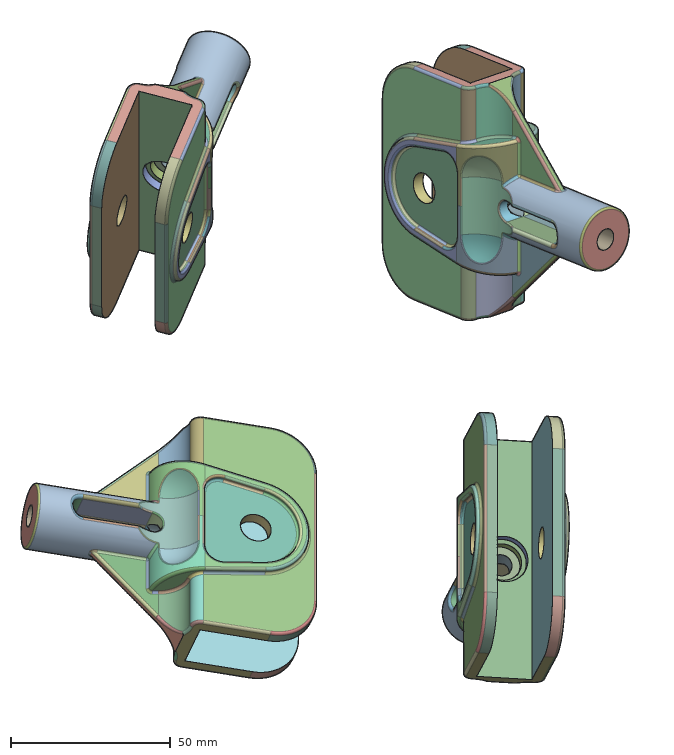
import cadquery as cq
import math


fork_open_y = -20.0
fork_floor_y = 17.0
fork_height = 79.0
fork_gap = 17.55
arm_corner_radius = 15.0
shoulder_radius = 3.4
edge_round = 0.9
pin_diameter = 10.0

rib_thickness = 3.0
flare_radius = 8.0
rib_slope_start_y = 21.2
half_height = fork_height / 2
half_rib = rib_thickness / 2
flare_x = half_rib + flare_radius
fork_half_width = flare_x + shoulder_radius
fork_back_y = fork_floor_y + shoulder_radius
rib_tip_y = rib_slope_start_y + half_height

boss_width = 29.6
boss_radius = 17.0
boss_taper = math.radians(10)
pocket_wall = 3.1
pocket_back_y = fork_floor_y
pocket_corner_radius = 5.5
pocket_edge_round = 0.7
wrap_radius = boss_width / 2
pocket_radius = boss_radius - pocket_wall

stem_diameter = 21.0
stem_end_y = 70.0
stem_end_round = 0.6
bore_diameter = 7.0
slot_start_y = 28.5
slot_end_y = 58.6
slot_edge_round = 0.9

joint_round = 0.8
touch_tolerance = 0.001

seat_steps = [(15.0, 3.0), (12.1, 6.0)]

groove_radius = 12.0
groove_x = 19.2
groove_y = 30.15
groove_half_straight = 9.6
groove_edge_round = 0.45


def touches(point, shape):
    """True where the point lies on the outer surface of the shape."""
    vertex = cq.Vertex.makeVertex(*point.toTuple())
    return any(vertex.distance(shell) < touch_tolerance for shell in shape.shells().vals())


def round_meeting_edges(combined, first, second, radius):
    """Fillet the edges of the combined solid along which the two shapes meet."""
    meeting = []
    for edge in combined.edges().vals():
        middle = edge.positionAt(0.5)
        if touches(middle, first) and touches(middle, second):
            meeting.append(edge)
    return combined.newObject(meeting).fillet(radius)


def join_blended(first, second, radius):
    return round_meeting_edges(first.union(second), first, second, radius)


def cut_rounded(stock, tool, radius):
    return round_meeting_edges(stock.cut(tool), stock, tool, radius)


def tapered_outline(radius, back_y):
    """Rounded nose about the pin with sides that spread toward a flat back, in the YZ plane."""
    nose_y = -radius * math.sin(boss_taper)
    nose_z = radius * math.cos(boss_taper)
    back_z = nose_z + (back_y - nose_y) * math.tan(boss_taper)
    return (
        cq.Workplane("YZ")
        .moveTo(back_y, -back_z)
        .lineTo(nose_y, -nose_z)
        .threePointArc((-radius, 0), (nose_y, nose_z))
        .lineTo(back_y, back_z)
        .close()
    )


def make_fork_blank():
    """Fork without its gap, together with the flared rib."""
    diagonal = math.sqrt(0.5)
    shoulder_x = fork_half_width - shoulder_radius * (1 - diagonal)
    shoulder_y = fork_floor_y + shoulder_radius * diagonal
    flare_mid_x = flare_x - flare_radius * diagonal
    flare_mid_y = fork_back_y + flare_radius * (1 - diagonal)
    plan = (
        cq.Workplane("XY")
        .moveTo(0, fork_open_y)
        .lineTo(fork_half_width, fork_open_y)
        .lineTo(fork_half_width, fork_floor_y)
        .threePointArc((shoulder_x, shoulder_y), (flare_x, fork_back_y))
        .threePointArc((flare_mid_x, flare_mid_y), (half_rib, fork_back_y + flare_radius))
        .lineTo(half_rib, rib_tip_y)
        .lineTo(0, rib_tip_y)
        .mirrorY()
        .extrude(half_height, both=True)
    )
    side = (
        cq.Workplane("YZ")
        .moveTo(fork_open_y, -half_height)
        .lineTo(rib_slope_start_y, -half_height)
        .lineTo(rib_tip_y, 0)
        .lineTo(rib_slope_start_y, half_height)
        .lineTo(fork_open_y, half_height)
        .close()
        .extrude(fork_half_width, both=True)
        .edges("|X and <Y")
        .fillet(arm_corner_radius)
    )
    blank = plan.intersect(side)
    rim = blank.edges("not(|X or |Z)").add(blank.edges("|Z and <Y"))
    return rim.fillet(edge_round)


def make_boss():
    """Boss that fills the fork from side to side and rounds off behind it."""
    slab = cq.Workplane("XY").rect(boss_width, 2 * fork_floor_y).extrude(half_height, both=True)
    dome = cq.Workplane("XY").center(0, fork_floor_y).circle(wrap_radius).extrude(half_height, both=True)
    nose = tapered_outline(boss_radius, fork_floor_y + boss_width).extrude(wrap_radius, both=True)
    boss = slab.union(dome).intersect(nose)
    return boss.edges("not(|X or |Z)").fillet(edge_round)


def make_stem():
    return (
        cq.Workplane("XZ", origin=(0, fork_floor_y, 0))
        .circle(stem_diameter / 2)
        .extrude(fork_floor_y - stem_end_y)
        .faces(">Y")
        .edges()
        .fillet(stem_end_round)
    )


def make_slot():
    """Through slot across the stem, as wide as the bore."""
    return (
        cq.Workplane("YZ")
        .center((slot_start_y + slot_end_y) / 2, 0)
        .slot2D(slot_end_y - slot_start_y, bore_diameter)
        .extrude(wrap_radius, both=True)
    )


def make_grooves():
    """Pair of round-ended bars, one on each side of the stem root."""
    bar = cq.Workplane("XY").circle(groove_radius).extrude(groove_half_straight, both=True)
    for end_z in (-groove_half_straight, groove_half_straight):
        bar = bar.union(cq.Workplane("XY").sphere(groove_radius).translate((0, 0, end_z)))
    right_bar = bar.translate((groove_x, groove_y, 0))
    return right_bar.union(right_bar.mirror("YZ"))


def make_pockets():
    """Boss pockets, as deep as the boss is proud of the arms, with rounded floor edges."""
    right_pocket = (
        tapered_outline(pocket_radius, pocket_back_y)
        .extrude(boss_width)
        .edges("|X and >Y")
        .fillet(pocket_corner_radius)
        .faces("<X")
        .edges()
        .fillet(pocket_edge_round)
        .translate((fork_half_width, 0, 0))
    )
    return right_pocket.union(right_pocket.mirror("YZ"))


def make_gap():
    return (
        cq.Workplane("XY")
        .box(fork_gap, fork_floor_y - fork_open_y, fork_height, centered=(True, False, True))
        .translate((0, fork_open_y, 0))
    )


def make_bore():
    """Bore through the length of the stem, with its stepped seat in the fork floor."""
    floor_plane = cq.Workplane("XZ", origin=(0, fork_floor_y, 0))
    bore = floor_plane.circle(bore_diameter / 2).extrude(fork_floor_y - stem_end_y)
    for diameter, depth in seat_steps:
        bore = bore.union(floor_plane.circle(diameter / 2).extrude(-depth))
    return bore


body = join_blended(make_fork_blank(), make_boss(), joint_round)
body = join_blended(body, make_stem(), joint_round)
body = cut_rounded(body, make_slot(), slot_edge_round)
body = cut_rounded(body, make_grooves(), groove_edge_round)
body = cut_rounded(body, make_pockets(), pocket_edge_round)

pin_hole = cq.Workplane("YZ").circle(pin_diameter / 2).extrude(wrap_radius, both=True)
result = body.cut(make_gap()).cut(make_bore()).cut(pin_hole)